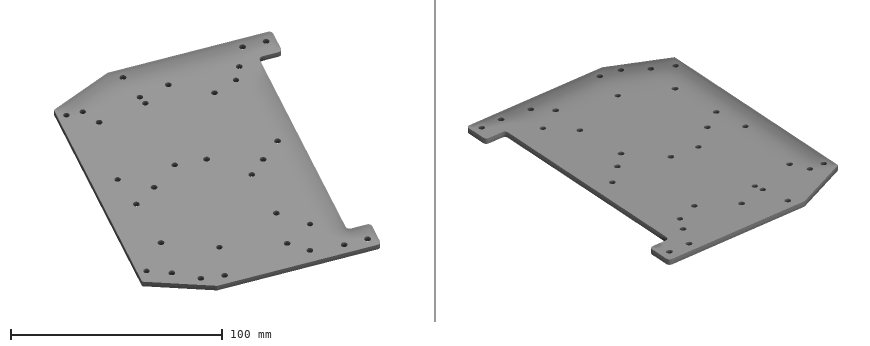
import cadquery as cq

width = 151.9
depth = 115.0
thickness = 3.0

tab_width = 14.6
tab_length = 12.0
corner_radius = 2.0
slope_width = 14.7
slope_length = 32.3

hole_diameter = 3.2
small_hole_diameter = 3.0

rectangular_patterns = [
    ((-70.5, 70.5), (38.1, 98.3), hole_diameter),
    ((-58.6, -5.6), (56.6, 92.3), hole_diameter),
    ((-50.7, 52.0), (42.2, 87.8), small_hole_diameter),
    ((3.6, 68.5), (26.9, 81.7), hole_diameter),
    ((-46.2, 39.6), (17.3, 75.3), hole_diameter),
    ((11.4, 60.5), (15.2, 73.2), hole_diameter),
    ((-55.5, -7.1), (12.5, 41.2), small_hole_diameter),
]

hole_pairs = [
    ((-70.2, 70.6), (110.0,), hole_diameter),
    ((-55.9, 55.1), (4.4,), small_hole_diameter),
]


def make_plate():
    """Plate outline with sloped front corners and two rounded rear tabs."""
    side = width / 2
    front_corner = side - slope_width
    tab_inside = side - tab_width
    notch_floor = depth - tab_length
    outline = [
        (-front_corner, 0),
        (front_corner, 0),
        (side, slope_length),
        (side, depth),
        (tab_inside, depth),
        (tab_inside, notch_floor),
        (-tab_inside, notch_floor),
        (-tab_inside, depth),
        (-side, depth),
        (-side, slope_length),
    ]
    plate = cq.Workplane("XY").polyline(outline).close().extrude(thickness)
    rear_edges = cq.selectors.BoxSelector(
        (-width, depth / 2, -thickness), (width, 2 * depth, 2 * thickness)
    )
    return plate.edges("|Z").edges(rear_edges).fillet(corner_radius)


def drill_pattern(plate, x_places, y_places, diameter):
    """Drill a through hole at every crossing of the X and Y places."""
    centers = [(x, y) for x in x_places for y in y_places]
    drills = cq.Workplane("XY").pushPoints(centers).circle(diameter / 2).extrude(thickness)
    return plate.cut(drills)


result = make_plate()
for x_places, y_places, diameter in rectangular_patterns + hole_pairs:
    result = drill_pattern(result, x_places, y_places, diameter)